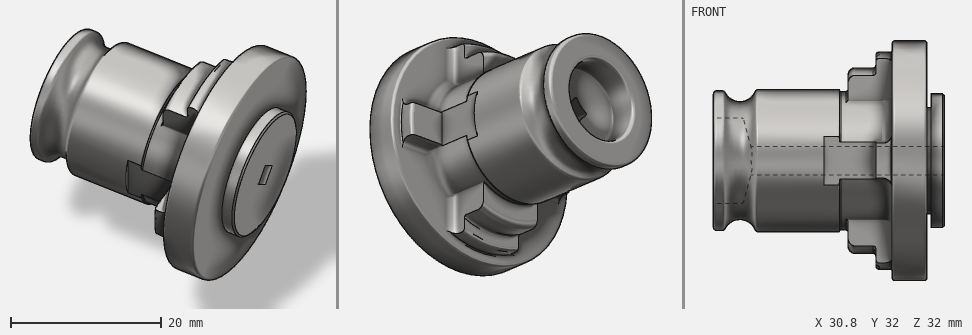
import cadquery as cq
import math


GROOVE_CENTER_X = 3.55
FLAT_START_X = 14.8
BODY_END_X = 16.8
LUG_FRONT_X = 17.95
LUG_STEP_X = 21.65
FLANGE_FRONT_X = 23.85
FLANGE_BACK_X = 28.48
DISC_FRONT_X = 29.02
DISC_BACK_X = 30.8

RIM_R = 18.65 / 2
BODY_R = 19.0 / 2
NECK_R = 18.5 / 2
FLANGE_R = 32 / 2
BACK_NECK_R = 14.2 / 2
DISC_R = 17.9 / 2
LUG_R = 14.5
LUG_STEP_R = 12.4
GROOVE_FLOOR_R = 7.87
GROOVE_ARC_R = 2.2

WIDE_LUG_WIDTH = 9.8
NARROW_LUG_WIDTH = 4.65
BAR_LENGTH = 4 * FLANGE_R
PLATE_WIDTH = 5 * FLANGE_R
FLAT_DISTANCE = DISC_R

RIM_FILLET = 0.48
BODY_EDGE_FILLET = 0.1
NECK_COVE = 0.2
WIDE_LUG_BASE_FILLET = 0.25
NARROW_LUG_BASE_FILLET = 0.4
FLANGE_ROOT_FILLET = 1.3
LUG_NOSE_FILLET = 1.0
LUG_INNER_FILLET = 0.35
LUG_EDGE_FILLET = 0.48
LUG_FOOT_FILLET = 0.15
FLANGE_EDGE_FILLET = 0.4
DISC_CHAMFER = 0.25

BORE_R = 11.4 / 2
BORE_DEPTH = 4.0
BORE_MOUTH_FILLET = 0.48
BORE_FLOOR_FILLET = 0.4
CONE_HALF_ANGLE = 75
SQUARE_SIDE = 2.72
SQUARE_CORNER_FILLET = 0.1


SELECT_MARGIN = 0.03


def turned(profile):
    """Revolve a closed profile, drawn as (x, radius), about the X axis."""
    return profile.close().revolve(360, (0, 0, 0), (1, 0, 0))


def cylinder(x_start, x_end, radius):
    return cq.Workplane("YZ").workplane(offset=x_start).circle(radius).extrude(x_end - x_start)


def block(x_start, x_end, width_y, width_z):
    """Box centred on the X axis between two X places."""
    return cq.Workplane("YZ").workplane(offset=x_start).rect(width_y, width_z).extrude(x_end - x_start)


def ring_edges(x, radius):
    """Selector for full circles about the X axis with the given place and radius."""
    outer = radius + SELECT_MARGIN
    inner = radius - SELECT_MARGIN
    disc_box = cq.selectors.BoxSelector(
        (x - SELECT_MARGIN, -outer, -outer), (x + SELECT_MARGIN, outer, outer), True
    )
    smaller_box = cq.selectors.BoxSelector(
        (x - SELECT_MARGIN, -inner, -inner), (x + SELECT_MARGIN, inner, inner), True
    )
    return disc_box - smaller_box


def make_sleeve():
    """Turned sleeve with a rim, a round-bottomed groove and a plain body."""
    arc_center_r = GROOVE_FLOOR_R + GROOVE_ARC_R
    rim_end_x = GROOVE_CENTER_X - math.sqrt(GROOVE_ARC_R**2 - (arc_center_r - RIM_R) ** 2)
    body_start_x = GROOVE_CENTER_X + math.sqrt(GROOVE_ARC_R**2 - (arc_center_r - BODY_R) ** 2)
    sleeve = turned(
        cq.Workplane("XY")
        .lineTo(0, RIM_R)
        .lineTo(rim_end_x, RIM_R)
        .threePointArc((GROOVE_CENTER_X, GROOVE_FLOOR_R), (body_start_x, BODY_R))
        .lineTo(BODY_END_X, BODY_R)
        .lineTo(BODY_END_X, 0)
    )
    sleeve = sleeve.edges(ring_edges(0, RIM_R)).fillet(RIM_FILLET)
    sleeve = sleeve.edges(ring_edges(rim_end_x, RIM_R)).fillet(RIM_FILLET)
    sleeve = sleeve.edges(ring_edges(body_start_x, BODY_R)).fillet(RIM_FILLET)
    return sleeve.edges(ring_edges(BODY_END_X, BODY_R)).fillet(BODY_EDGE_FILLET)


def base_edges(start_x, reach_y, reach_z):
    """Selector for neck edges from a place on, within a reach of the X axis, except its back end."""
    low = (start_x - SELECT_MARGIN, -reach_y - SELECT_MARGIN, -reach_z - SELECT_MARGIN)
    high = (FLANGE_FRONT_X + SELECT_MARGIN, reach_y + SELECT_MARGIN, reach_z + SELECT_MARGIN)
    end_low = (FLANGE_FRONT_X - SELECT_MARGIN, low[1], low[2])
    along_neck = cq.selectors.BoxSelector(low, high, True)
    return along_neck - cq.selectors.BoxSelector(end_low, high, True)


def make_lug_blank():
    """Neck with two crossing bars on an oversize plate, with all root fillets."""
    neck = cylinder(BODY_END_X, FLANGE_FRONT_X, NECK_R)
    wide_bar = block(LUG_FRONT_X, FLANGE_FRONT_X, WIDE_LUG_WIDTH, BAR_LENGTH)
    narrow_bar = block(BODY_END_X, FLANGE_FRONT_X, BAR_LENGTH, NARROW_LUG_WIDTH)

    wide_corners = base_edges(LUG_FRONT_X, NECK_R, NECK_R)
    blank = neck.union(wide_bar).edges(wide_corners).fillet(WIDE_LUG_BASE_FILLET)
    narrow_corners = base_edges(BODY_END_X, NECK_R, NARROW_LUG_WIDTH)
    blank = blank.union(narrow_bar).edges("|X").edges(narrow_corners).fillet(NARROW_LUG_BASE_FILLET)

    blank = blank.union(block(FLANGE_FRONT_X, FLANGE_BACK_X, PLATE_WIDTH, PLATE_WIDTH))
    root_reach = BAR_LENGTH / 2 - SELECT_MARGIN
    roots = cq.selectors.BoxSelector(
        (FLANGE_FRONT_X - SELECT_MARGIN, -root_reach, -root_reach),
        (FLANGE_FRONT_X + SELECT_MARGIN, root_reach, root_reach),
    )
    return blank.edges(roots).fillet(FLANGE_ROOT_FILLET)


def make_envelope():
    """Turned limit of the lugs and flange: stepped lug outline, then the flange."""
    envelope = turned(
        cq.Workplane("XY")
        .moveTo(BODY_END_X, 0)
        .lineTo(BODY_END_X, BODY_R)
        .lineTo(LUG_FRONT_X, BODY_R)
        .lineTo(LUG_FRONT_X, LUG_STEP_R)
        .lineTo(LUG_STEP_X, LUG_STEP_R)
        .lineTo(LUG_STEP_X, LUG_R)
        .lineTo(FLANGE_FRONT_X, LUG_R)
        .lineTo(FLANGE_FRONT_X, FLANGE_R)
        .lineTo(FLANGE_BACK_X, FLANGE_R)
        .lineTo(FLANGE_BACK_X, 0)
    )
    rounded_rings = (
        (LUG_FRONT_X, LUG_STEP_R, LUG_NOSE_FILLET),
        (LUG_STEP_X, LUG_STEP_R, LUG_INNER_FILLET),
        (LUG_STEP_X, LUG_R, LUG_EDGE_FILLET),
        (FLANGE_FRONT_X, LUG_R, LUG_FOOT_FILLET),
        (FLANGE_FRONT_X, FLANGE_R, FLANGE_EDGE_FILLET),
        (FLANGE_BACK_X, FLANGE_R, FLANGE_EDGE_FILLET),
    )
    for x, radius, fillet in rounded_rings:
        envelope = envelope.edges(ring_edges(x, radius)).fillet(fillet)
    return envelope


def make_neck_cove():
    """Small concave ring that blends the end of the sleeve into the neck."""
    cove_end_x = BODY_END_X + NECK_COVE
    cove_top_r = NECK_R + NECK_COVE
    cove_root_r = NECK_R - NECK_COVE
    arc_drop = NECK_COVE * math.sqrt(0.5)
    return turned(
        cq.Workplane("XY")
        .moveTo(BODY_END_X, cove_root_r)
        .lineTo(BODY_END_X, cove_top_r)
        .threePointArc((cove_end_x - arc_drop, cove_top_r - arc_drop), (cove_end_x, NECK_R))
        .lineTo(cove_end_x, cove_root_r)
    )


def make_side_flats():
    """Two blocks that leave flats on the body and the narrow lugs standing behind them."""
    flats = cq.Workplane("XY")
    for side in (-1, 1):
        cutter = block(FLAT_START_X, LUG_STEP_X, FLANGE_R, 2 * FLANGE_R)
        flats = flats.add(cutter.translate((0, side * (FLAT_DISTANCE + FLANGE_R / 2), 0)))
    return flats.combine()


def make_back_disc():
    disc = cylinder(DISC_FRONT_X, DISC_BACK_X, DISC_R).faces(">X").chamfer(DISC_CHAMFER)
    return disc.union(cylinder(FLANGE_BACK_X, DISC_FRONT_X, BACK_NECK_R))


def make_bore():
    """Blind bore with a conical floor and a rounded corner between wall and cone."""
    cone_tip_x = BORE_DEPTH + BORE_R / math.tan(math.radians(CONE_HALF_ANGLE))
    bore = turned(
        cq.Workplane("XY")
        .lineTo(0, BORE_R)
        .lineTo(BORE_DEPTH, BORE_R)
        .lineTo(cone_tip_x, 0)
    )
    return bore.edges(ring_edges(BORE_DEPTH, BORE_R)).fillet(BORE_FLOOR_FILLET)


def make_drive_hole():
    """Square through hole standing on its corner."""
    square = block(0, DISC_BACK_X, SQUARE_SIDE, SQUARE_SIDE).edges("|X").fillet(SQUARE_CORNER_FILLET)
    return square.rotate((0, 0, 0), (1, 0, 0), 45)


lugs_and_flange = make_lug_blank().intersect(make_envelope())
outside = make_sleeve().union(lugs_and_flange).union(make_neck_cove())
outside = outside.cut(make_side_flats()).union(make_back_disc())
bored = outside.cut(make_bore())
bored = bored.edges(ring_edges(0, BORE_R)).fillet(BORE_MOUTH_FILLET)
result = bored.cut(make_drive_hole())